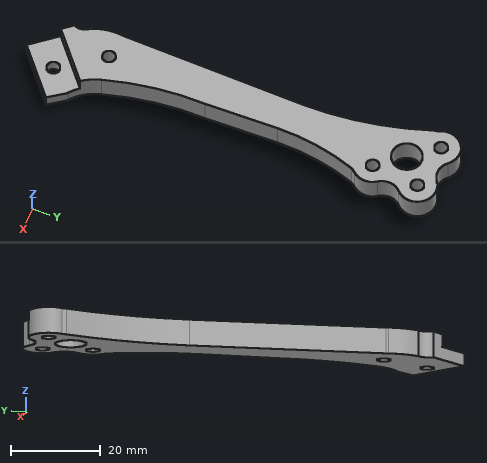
import cadquery as cq
import math

OVERALL_WIDTH = 23.0
OVERALL_LENGTH = 101.0
THICKNESS = 6.0
FOOT_THICKNESS = 3.0
BORE_DIAMETER = 7.0
SCREW_DIAMETER = 3.0

TURN_ANGLE = 39.0
HOLE_CIRCLE_RADIUS = 8.0
LOBE_RADIUS = 4.4
VALLEY_RADIUS = 4.0

FOOT_SIDE_LENGTH = 11.2
STEP_LENGTH = 8.0
FOOT_CORNER_X = 2.1

ANKLE_HOLE = (0.0, -71.4)
FOOT_HOLE = (5.6, -82.5)


def polar(radius, angle, center=(0.0, 0.0)):
    """Point at a radius and an angle in degrees from a centre."""
    turn = math.radians(angle)
    return (center[0] + radius * math.cos(turn), center[1] + radius * math.sin(turn))


lobe_angles = [TURN_ANGLE + quarter for quarter in (90, 0, -90)]
left_lobe, upper_lobe, lower_lobe = [polar(HOLE_CIRCLE_RADIUS, angle) for angle in lobe_angles]

half_spacing = HOLE_CIRCLE_RADIUS * math.sin(math.radians(45))
valley_offset = math.sqrt((LOBE_RADIUS + VALLEY_RADIUS) ** 2 - half_spacing ** 2)
valley_distance = half_spacing + valley_offset
valley_tilt = math.degrees(math.atan2(valley_offset, half_spacing))


def valley_bottom(bisector_angle):
    """Point of the valley arc closest to the bore."""
    return polar(valley_distance - VALLEY_RADIUS, bisector_angle)


def lobe_point(lobe, angle):
    """Point on the rim of a lobe, with the angle taken from the turn angle."""
    return polar(LOBE_RADIUS, TURN_ANGLE + angle, lobe)


foot_corner = (FOOT_CORNER_X, left_lobe[1] + LOBE_RADIUS - OVERALL_LENGTH)
foot_right_x = left_lobe[0] - LOBE_RADIUS + OVERALL_WIDTH
foot_width = (foot_right_x - FOOT_CORNER_X) / math.cos(math.radians(TURN_ANGLE))
foot_right_corner = polar(foot_width, TURN_ANGLE, foot_corner)
foot_side_start = polar(FOOT_SIDE_LENGTH, TURN_ANGLE + 90, foot_corner)
left_lobe_start = lobe_point(left_lobe, 171)


def arm_outline():
    """Closed outline, clockwise from the left of the head."""
    outline = (
        cq.Workplane("XY")
        .moveTo(*left_lobe_start)
        .threePointArc(lobe_point(left_lobe, 90), lobe_point(left_lobe, valley_tilt - 45))
        .threePointArc(valley_bottom(TURN_ANGLE + 45), lobe_point(upper_lobe, 135 - valley_tilt))
        .threePointArc(lobe_point(upper_lobe, 0), lobe_point(upper_lobe, valley_tilt - 135))
        .threePointArc(valley_bottom(TURN_ANGLE - 45), lobe_point(lower_lobe, 45 - valley_tilt))
        .threePointArc(lobe_point(lower_lobe, -45), lobe_point(lower_lobe, -81))
    )
    outline = (
        outline
        .threePointArc((7.9, -9.7), (7.5, -10.3))
        .threePointArc((5.0, -18.7), (3.7, -29.5))
        .lineTo(3.7, -46.9)
        .threePointArc((4.5, -62.5), (6.4, -70.6))
        .threePointArc((7.5, -73.4), (10.7, -77.1))
        .threePointArc((12.2, -79.2), foot_right_corner)
    )
    return (
        outline
        .lineTo(*foot_corner)
        .lineTo(*foot_side_start)
        .threePointArc((-4.5, -79.8), (-5.4, -78.1))
        .threePointArc((-6.4, -74.8), (-6.5, -71.0))
        .lineTo(-6.4, -70.4)
        .lineTo(-4.2, -26.2)
        .threePointArc((-5.5, -9.6), (-8.7, 2.9))
        .lineTo(*left_lobe_start)
        .close()
    )


def foot_relief():
    """Block above the foot, from the step out past the end edge."""
    margin = 5.1
    relief_length = STEP_LENGTH + margin
    return (
        cq.Workplane("XY")
        .box(foot_width + 2 * margin, relief_length, THICKNESS, centered=(False, False, False))
        .translate((-margin, -margin, FOOT_THICKNESS))
        .rotate((0, 0, 0), (0, 0, 1), TURN_ANGLE)
        .translate((*foot_corner, 0))
    )


def through_holes(points, diameter):
    return cq.Workplane("XY").pushPoints(points).circle(diameter / 2).extrude(THICKNESS)


screw_holes = [left_lobe, upper_lobe, lower_lobe, ANKLE_HOLE, FOOT_HOLE]

result = (
    arm_outline()
    .extrude(THICKNESS)
    .cut(foot_relief())
    .cut(through_holes([(0, 0)], BORE_DIAMETER))
    .cut(through_holes(screw_holes, SCREW_DIAMETER))
)